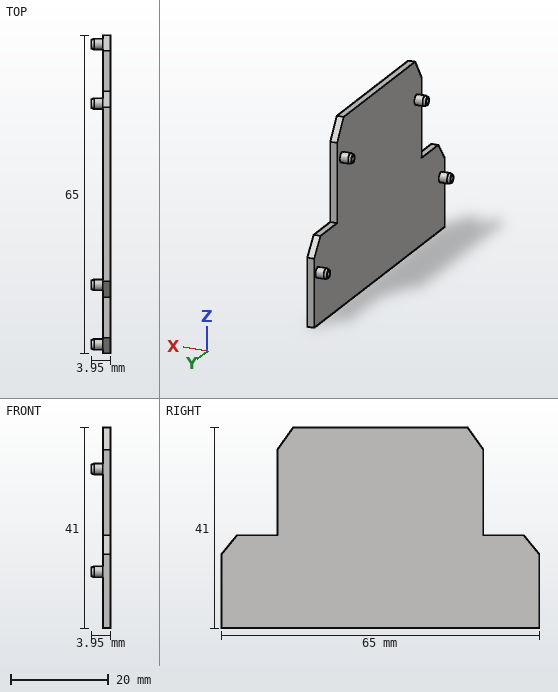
import cadquery as cq

base_width = 65.0
base_height = 19.0
tower_width = 42.1
total_height = 41.0
plate_thickness = 1.55

base_corner_setback = 3.2
base_corner_drop = 3.9
tower_corner_setback = 3.25
tower_corner_drop = 4.55

pin_length = 2.4
pin_diameter = 2.3
tip_bevel_length = 0.6
tip_diameter = 1.75
recess_diameter = 1.3
recess_depth = 1.0
lower_pin_spacing = 61.35
lower_pin_height = 11.5
upper_pin_spacing = 37.05
upper_pin_height = 32.5


def make_plate():
    """Stepped plate: a wide base and a narrower tower with sloped corners."""
    base_half = base_width / 2
    tower_half = tower_width / 2
    right_side = [
        (base_half, 0),
        (base_half, base_height - base_corner_drop),
        (base_half - base_corner_setback, base_height),
        (tower_half, base_height),
        (tower_half, total_height - tower_corner_drop),
        (tower_half - tower_corner_setback, total_height),
    ]
    left_side = [(-y, z) for y, z in reversed(right_side)]
    return cq.Workplane("YZ").polyline(right_side + left_side).close().extrude(plate_thickness)


def make_pin(y, z):
    """Pin pointing along -X: straight shank, bevelled tip, conical recess in the end."""
    pin_radius = pin_diameter / 2
    half_section = [
        (0, 0),
        (pin_radius, 0),
        (pin_radius, pin_length - tip_bevel_length),
        (tip_diameter / 2, pin_length),
        (recess_diameter / 2, pin_length),
        (0, pin_length - recess_depth),
    ]
    section_plane = cq.Plane(origin=(0, y, z), xDir=(0, -1, 0), normal=(0, 0, -1))
    return cq.Workplane(section_plane).polyline(half_section).close().revolve(360, (0, 0), (0, 1))


result = make_plate()
for spacing, height in [
    (lower_pin_spacing, lower_pin_height),
    (upper_pin_spacing, upper_pin_height),
]:
    for side in (-1, 1):
        result = result.union(make_pin(side * spacing / 2, height))